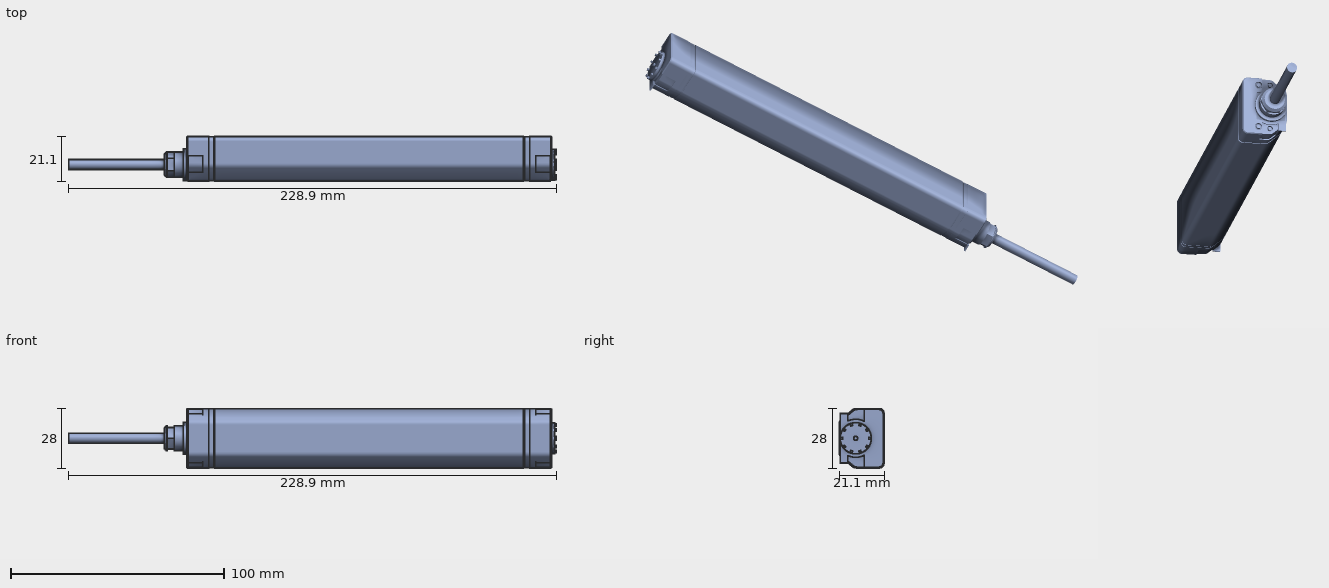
import cadquery as cq

HOUSING_START = 55.4
HOUSING_END = 226.5
CAP_LENGTH = 10.3
COLLAR_END = 12.5
GROOVE_END = 13.3
END_PLATE_THICKNESS = 0.7
END_CHAMFER = 0.5

FRONT_Y = -7.8
BACK_Y = 13.3
HEIGHT = 28.0
BEVEL_Y = 7.0
BEVEL_Z = 6.0
BEVEL_ROUNDING = 3.2
BACK_ROUNDING = 2.3
COLLAR_INSET = 0.11
GROOVE_DEPTH = 0.2

PLATE_FRONT_Y = -7.3
PLATE_BACK_Y = 4.1
PLATE_HEIGHT = 23.3

RECESS_LENGTH = 7.5
RECESS_FRONT_Y = -3.7
RECESS_BACK_Y = 4.1
RECESS_DEPTH = 0.5
END_BOSS_DIAMETER = 17.8

SCREW_Y = 5.7
SCREW_Z = 10.3
SCREW_HOLE_DIAMETER = 3.5
OPENING_SCREW_Y = 0.2
OPENING_SCREW_Z = 10.8
OPENING_SCREW_HOLE_DIAMETER = 2.7
SCREW_HOLE_DEPTH = 1.1
SCREW_CORE_DIAMETER = 1.5

SEAT_SIDE = 13.7
SEAT_ROUNDING = 0.7
SEAT_DEPTH = 0.5

PLUG_DIAMETER = 14.6
PLUG_THICKNESS = 1.4
TOOTH_COUNT = 10
TOOTH_HEIGHT = 1.0
TOOTH_RING_RADIUS = 6.6
TOOTH_SIZE = 1.0
HUB_DIAMETER = 1.8

CABLE_DIAMETER = 4.8
NUT_START = 44.8
NUT_HEX_START = 46.2
NUT_END = 49.5
NUT_ACROSS_CORNERS = 12.0
NUT_CHAMFER = 1.1
FLANGE_START = 53.8
FLANGE_DIAMETER = 15.0
SLEEVE_DIAMETER = 12.0


def cylinder(diameter, start, end, y=0, z=0):
    """Cylinder along X from start to end."""
    return cq.Workplane("YZ", origin=(start, y, z)).circle(diameter / 2).extrude(end - start)


def box(start, end, y_min, y_max, height):
    """Block centred on Z = 0."""
    middle = ((start + end) / 2, (y_min + y_max) / 2, 0)
    return cq.Workplane("XY", origin=middle).box(end - start, y_max - y_min, height)


def profile_prism(start, end, inset=0.0):
    """Length of the bevelled housing profile, shrunk all round by inset."""
    half = HEIGHT / 2
    outline = [
        (BACK_Y, half),
        (FRONT_Y + BEVEL_Y, half),
        (FRONT_Y, half - BEVEL_Z),
        (FRONT_Y, BEVEL_Z - half),
        (FRONT_Y + BEVEL_Y, -half),
        (BACK_Y, -half),
    ]
    prism = cq.Workplane("YZ", origin=(start, 0, 0)).polyline(outline).close()
    if inset:
        prism = prism.offset2D(-inset)
    prism = prism.extrude(end - start)
    prism = prism.edges("|X and (not >Y)").fillet(BEVEL_ROUNDING)
    return prism.edges("|X and >Y").fillet(BACK_ROUNDING)


def make_cap(end, direction):
    """End cap with its collar and end plate; direction points from the end into the housing."""

    def span(near, far):
        return sorted((end + direction * near, end + direction * far))

    cap = profile_prism(*span(0, CAP_LENGTH))
    cap = cap.faces("<X" if direction > 0 else ">X").chamfer(END_CHAMFER)
    cap = cap.union(profile_prism(*span(CAP_LENGTH, COLLAR_END), COLLAR_INSET))
    cap = cap.union(profile_prism(*span(COLLAR_END, GROOVE_END), GROOVE_DEPTH))

    recess_zone = box(*span(0, RECESS_LENGTH), RECESS_FRONT_Y, RECESS_BACK_Y, HEIGHT)
    recess_core = profile_prism(*span(0, RECESS_LENGTH), RECESS_DEPTH)
    cap = cap.cut(recess_zone.cut(recess_core))

    plate_span = span(0, END_PLATE_THICKNESS)
    cap = cap.cut(box(*plate_span, FRONT_Y, PLATE_BACK_Y, HEIGHT))
    front_plate = box(*plate_span, PLATE_FRONT_Y, PLATE_BACK_Y, PLATE_HEIGHT)
    opening = box(*plate_span, RECESS_FRONT_Y, RECESS_BACK_Y, PLATE_HEIGHT)
    boss = cylinder(END_BOSS_DIAMETER, *plate_span)
    return cap.union(front_plate.cut(opening.cut(boss)))


def make_plug():
    """Round plug on the far end, with a hub and a ring of teeth on its face."""
    face = HOUSING_END + PLUG_THICKNESS
    tip = face + TOOTH_HEIGHT
    plug = cylinder(PLUG_DIAMETER, HOUSING_END, face)
    teeth = (
        cq.Workplane("YZ", origin=(face, 0, 0))
        .polarArray(TOOTH_RING_RADIUS, 0, 360, TOOTH_COUNT)
        .rect(TOOTH_SIZE, TOOTH_SIZE)
        .extrude(TOOTH_HEIGHT)
    )
    return plug.union(cylinder(HUB_DIAMETER, face, tip)).union(teeth)


def screw_groove(start, hole_diameter, y, z):
    """Ring-shaped groove that leaves the screw core standing."""
    end = start + SCREW_HOLE_DEPTH
    return cylinder(hole_diameter, start, end, y, z).cut(cylinder(SCREW_CORE_DIAMETER, start, end, y, z))


def make_housing():
    """Tube with both caps and the plug."""
    housing = profile_prism(HOUSING_START + GROOVE_END, HOUSING_END - GROOVE_END)
    housing = housing.union(make_cap(HOUSING_START, 1))
    housing = housing.union(make_cap(HOUSING_END, -1))
    housing = housing.union(make_plug())

    opening_floor = HOUSING_START + END_PLATE_THICKNESS
    for side in (-1, 1):
        housing = housing.cut(screw_groove(HOUSING_START, SCREW_HOLE_DIAMETER, SCREW_Y, side * SCREW_Z))
        housing = housing.cut(
            screw_groove(
                opening_floor,
                OPENING_SCREW_HOLE_DIAMETER,
                OPENING_SCREW_Y,
                side * OPENING_SCREW_Z,
            )
        )

    seat_end = HOUSING_START + SEAT_DEPTH
    seat = box(HOUSING_START, seat_end, -SEAT_SIDE / 2, SEAT_SIDE / 2, SEAT_SIDE)
    return housing.cut(seat.edges("|X").fillet(SEAT_ROUNDING))


def make_cable_gland():
    """Cable, hexagonal nut, sleeve and flange, seated on the floor of the square recess."""
    nut = (
        cq.Workplane("YZ", origin=(NUT_HEX_START, 0, 0))
        .polygon(6, NUT_ACROSS_CORNERS)
        .extrude(NUT_END - NUT_HEX_START)
    )
    nut_rim = cylinder(NUT_ACROSS_CORNERS, NUT_START, NUT_HEX_START)
    nut_rim = nut_rim.faces("<X").chamfer(NUT_CHAMFER)
    gland = cylinder(CABLE_DIAMETER, 0, NUT_START).union(nut_rim).union(nut)
    gland = gland.union(cylinder(SLEEVE_DIAMETER, NUT_END, FLANGE_START))
    gland = gland.union(cylinder(FLANGE_DIAMETER, FLANGE_START, HOUSING_START))
    seat_end = HOUSING_START + SEAT_DEPTH
    return gland.union(cylinder(SLEEVE_DIAMETER, HOUSING_START, seat_end))


housing = make_housing()
cable_gland = make_cable_gland()
result = cq.Compound.makeCompound([housing.val(), cable_gland.val()])